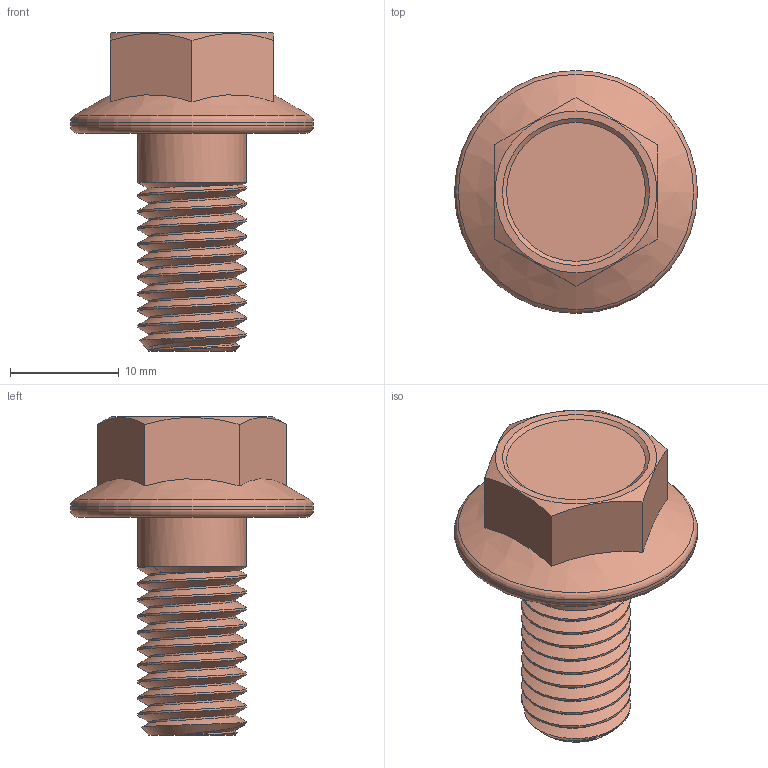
import cadquery as cq
import math


head_height = 9.24
across_flats = 15.0
across_corners = across_flats / math.cos(math.radians(30))
head_chamfer_angle = 30.0
head_chamfer_top_diameter = 14.85

recess_top_diameter = 13.5
recess_floor_diameter = 12.75
recess_depth = 0.3

flange_diameter = 22.3
rim_fillet = 0.7
rim_band_height = 0.34
flange_slope = 30.0

thread_diameter = 10.0
pitch = 1.5
shank_length = 20.0
plain_length = 4.5
thread_length = shank_length - plain_length
flank_angle = 30.0
sharp_v_height = pitch / 2 / math.tan(math.radians(flank_angle))
thread_depth = 0.75 * sharp_v_height
crest_width = pitch / 8
thread_radius = thread_diameter / 2
root_radius = thread_radius - thread_depth
runout_length = thread_depth * math.tan(math.radians(flank_angle))
tip_radius = 3.95
tip_chamfer_angle = 48.0

first_crest_depth = 4.97
turns_below_first_crest = 11
ridge_turns = turns_below_first_crest + 1
ridge_embed = 0.06


def make_flange():
    """Flange with a rounded rim and a conical top that runs up to the axis."""
    rim_radius = flange_diameter / 2
    fillet_centre_x = rim_radius - rim_fillet
    band_top = rim_fillet + rim_band_height
    slope = math.radians(flange_slope)
    mid = math.radians((90 - flange_slope) / 2)
    end = math.radians(90 - flange_slope)
    diagonal = rim_fillet * math.sqrt(0.5)
    cone_start_x = fillet_centre_x + rim_fillet * math.cos(end)
    cone_start_z = band_top + rim_fillet * math.sin(end)
    apex_z = cone_start_z + cone_start_x * math.tan(slope)
    return (
        cq.Workplane("XZ")
        .lineTo(fillet_centre_x, 0)
        .threePointArc((fillet_centre_x + diagonal, rim_fillet - diagonal), (rim_radius, rim_fillet))
        .lineTo(rim_radius, band_top)
        .threePointArc(
            (fillet_centre_x + rim_fillet * math.cos(mid), band_top + rim_fillet * math.sin(mid)),
            (cone_start_x, cone_start_z),
        )
        .lineTo(0, apex_z)
        .close()
        .revolve(360, (0, 0, 0), (0, 1, 0))
    )


def make_hexagon():
    """Hexagon with corners on the Y axis and a conical chamfer around its top."""
    prism = (
        cq.Workplane("XY")
        .polygon(6, across_corners)
        .extrude(head_height)
        .rotate((0, 0, 0), (0, 0, 1), 30)
    )
    top_radius = head_chamfer_top_diameter / 2
    base_radius = top_radius + head_height / math.tan(math.radians(head_chamfer_angle))
    envelope = cq.Workplane("XY").add(cq.Solid.makeCone(base_radius, top_radius, head_height))
    return prism.intersect(envelope)


def make_recess():
    return cq.Workplane("XY").add(
        cq.Solid.makeCone(
            recess_floor_diameter / 2,
            recess_top_diameter / 2,
            recess_depth,
            pnt=cq.Vector(0, 0, head_height - recess_depth),
        )
    )


def make_plain_shank():
    """Unthreaded shank ending in a cone that fills the thread run-out."""
    return (
        cq.Workplane("XZ")
        .lineTo(thread_radius, 0)
        .lineTo(thread_radius, -plain_length)
        .lineTo(root_radius, -plain_length - runout_length)
        .lineTo(0, -plain_length - runout_length)
        .close()
        .revolve(360, (0, 0, 0), (0, 1, 0))
    )


def make_thread_ridge():
    """Right-hand helical ridge with 60 degree flanks and a flat crest, sunk slightly into the core."""
    start_z = -first_crest_depth - turns_below_first_crest * pitch
    foot_radius = root_radius - ridge_embed
    half_crest = crest_width / 2
    half_foot = half_crest + (thread_radius - foot_radius) * math.tan(math.radians(flank_angle))
    helix = cq.Wire.makeHelix(pitch, ridge_turns * pitch, foot_radius, center=cq.Vector(0, 0, start_z))
    return (
        cq.Workplane("XZ")
        .polyline(
            [
                (foot_radius, start_z - half_foot),
                (thread_radius, start_z - half_crest),
                (thread_radius, start_z + half_crest),
                (foot_radius, start_z + half_foot),
            ]
        )
        .close()
        .sweep(cq.Workplane(obj=helix), isFrenet=True)
    )


def make_thread_envelope():
    """Space around the thread, from the tip with its conical chamfer up to the plain shank."""
    clear_radius = thread_radius + thread_depth
    chamfer_height = (clear_radius - tip_radius) * math.tan(math.radians(tip_chamfer_angle))
    return (
        cq.Workplane("XZ", origin=(0, 0, -shank_length))
        .lineTo(tip_radius, 0)
        .lineTo(clear_radius, chamfer_height)
        .lineTo(clear_radius, thread_length)
        .lineTo(0, thread_length)
        .close()
        .revolve(360, (0, 0, 0), (0, 1, 0))
    )


def make_threaded_shank():
    core = cq.Workplane("XY").circle(root_radius).extrude(-shank_length - pitch)
    threaded = core.union(make_thread_ridge())
    return threaded.intersect(make_thread_envelope())


head = make_hexagon().union(make_flange()).cut(make_recess())
shank = make_threaded_shank().union(make_plain_shank())
result = head.union(shank)